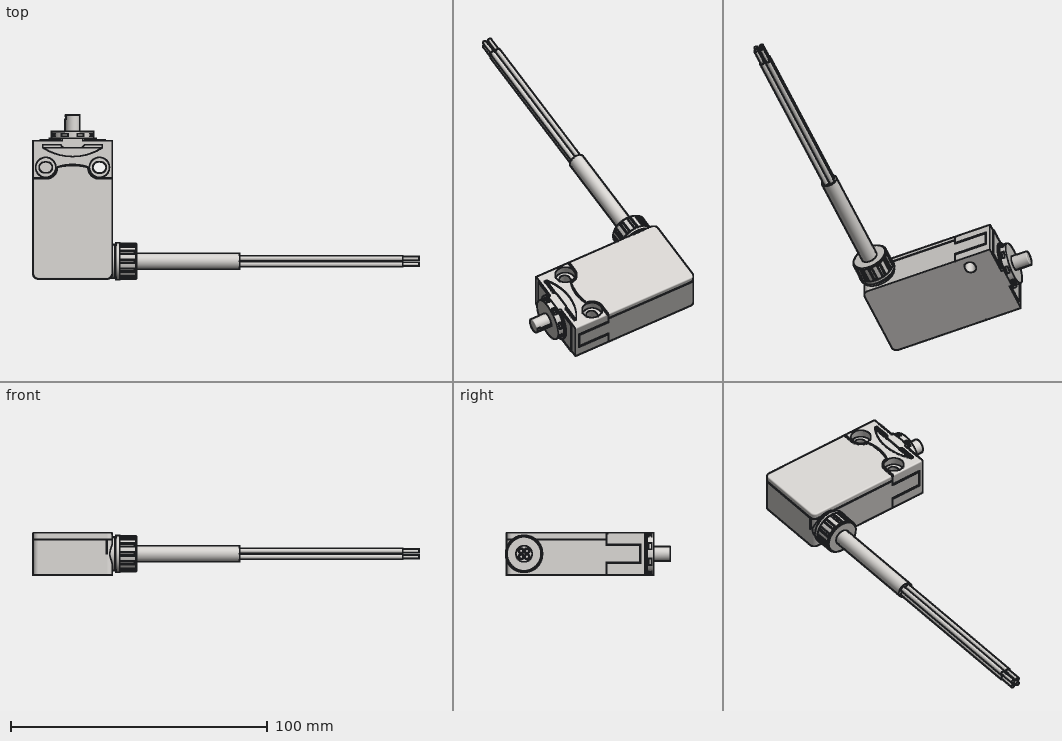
import cadquery as cq
import math

WIDTH = 31.0
END_Y = 0.3
HEAD_Y = 54.2
HEIGHT = 16.5
END_CORNER_RADIUS = 2.1
TOP_EDGE_FILLET = 0.6
MID_X = WIDTH / 2
MID_Z = HEIGHT / 2

HOLE_SPACING = 20.9
HOLE_Y = 43.8
HOLE_HEIGHT_Y = 4.2
HOLE_LENGTH_X = 5.1
BLIND_HOLE_DEPTH = 7.5
COUNTERBORE_RADIUS = 3.9
COUNTERBORE_DEPTH = 3.3
JOINT_Y = 39.3
JOINT_ARC_RADIUS = HOLE_Y - JOINT_Y
JOINT_WIDTH = 0.5
JOINT_DEPTH = 0.5
JOINT_CREST_Y = 44.5
LID_THICKNESS = 2.7
SEAM_SIZE = 0.2
TONGUE_TOP_Z = 12.0
TONGUE_BOTTOM_Z = HEIGHT - TONGUE_TOP_Z
TONGUE_END_Y = 52.7

RECESS_HALF_WIDTH = 11.6
RECESS_BOTTOM_Y = 48.0
RECESS_CHORD_Y = 51.5
RECESS_DEPTH = 0.5
POCKET_TOP_Y = 52.5
POCKET_INNER_HALF = 4.7
POCKET_DEPTH = 0.9

PAD_HALF_WIDTH = 12.6
PAD_TOP_Y = 54.6
PAD_INSET_Z = 0.5
BASE_RADIUS = 9.2
BASE_TOP_Y = 55.2
COLLAR_RADIUS = MID_Z
COLLAR_TOP_Y = 57.8
COLLAR_NOTCHES = 8
COLLAR_NOTCH_WIDTH = 2.7
COLLAR_NOTCH_DEPTH = 0.6
COLLAR_NOTCH_START_Y = 55.8
COLLAR_NOTCH_END_Y = 56.9
PLUNGER_RADIUS = 2.9
PLUNGER_TOP_Y = 64.3
PLUNGER_FILLET = 0.3
KEY_WIDTH = 1.0
KEY_HEIGHT = 0.3
KEY_END_Y = 62.6
TIP_NOTCH_WIDTH = 1.8
TIP_NOTCH_END_Y = 63.8
TIP_NOTCH_DEPTH = 0.3

CABLE_Y = 7.2
FLANGE_RADIUS = 6.6
FLANGE_END_X = 31.9
NECK_RADIUS = 6.2
RING_START_X = 32.4
RING_RADIUS = 7.2
NUT_START_X = 33.9
NUT_END_X = 40.5
NUT_RADIUS = 7.0
NUT_CHAMFER = 0.5
NUT_GROOVES = 12
NUT_GROOVE_FLOOR_WIDTH = 0.9
NUT_GROOVE_RIM_WIDTH = 1.8
NUT_GROOVE_DEPTH = 0.5
NUT_GROOVE_END_X = 39.6
CABLE_RADIUS = 3.2
CABLE_END_X = 80.5
WIRE_DIAMETER = 2.1
WIRE_PITCH = 2.3
WIRE_END_X = 144.2
CORE_DIAMETER = 1.5
CORE_END_X = 150.5
CORNER_SLIT_X = 29.0


def box(x_range, y_range, z_range):
    """Axis-aligned block between pairs of limits."""
    sizes = [limits[1] - limits[0] for limits in (x_range, y_range, z_range)]
    return cq.Workplane("XY").box(*sizes, centered=False).translate((x_range[0], y_range[0], z_range[0]))


def x_cylinder(radius, start_x, end_x, y=CABLE_Y, z=MID_Z):
    """Cylinder along X."""
    return cq.Workplane("YZ", origin=(start_x, y, z)).circle(radius).extrude(end_x - start_x)


def y_cylinder(radius, start_y, end_y):
    """Cylinder along Y on the plunger axis."""
    return cq.Workplane("XZ", origin=(MID_X, start_y, MID_Z)).circle(radius).extrude(start_y - end_y)


def block():
    """Housing with rounded corners at the cable end and softened top edges."""
    body = box((0, WIDTH), (END_Y, HEAD_Y), (0, HEIGHT))
    body = body.edges("|Z and <Y").fillet(END_CORNER_RADIUS)
    return body.faces(">Z").edges("not >Y").fillet(TOP_EDGE_FILLET)


def top_cut(depth):
    """Sketch plane at the bottom of a cut of the given depth in the top face."""
    return cq.Workplane("XY", origin=(MID_X, 0, HEIGHT - depth))


def mounting_holes():
    """Counterbored oblong holes: the left one blind, the right one through."""
    left = -HOLE_SPACING / 2
    right = HOLE_SPACING / 2
    counterbores = (
        top_cut(COUNTERBORE_DEPTH)
        .pushPoints([(left, HOLE_Y), (right, HOLE_Y)])
        .circle(COUNTERBORE_RADIUS)
        .extrude(COUNTERBORE_DEPTH)
    )
    blind = top_cut(BLIND_HOLE_DEPTH).center(left, HOLE_Y).slot2D(HOLE_LENGTH_X, HOLE_HEIGHT_Y)
    through = top_cut(HEIGHT).center(right, HOLE_Y).slot2D(HOLE_LENGTH_X, HOLE_HEIGHT_Y)
    return counterbores.union(blind.extrude(BLIND_HOLE_DEPTH)).union(through.extrude(HEIGHT))


def lid_outline(offset):
    """Lid region of the top face, with its head-side edge moved towards the head by offset."""
    hole_x = HOLE_SPACING / 2
    radius = JOINT_ARC_RADIUS - offset
    edge_y = JOINT_Y + offset
    diagonal = radius * math.sqrt(0.5)
    inner_x = hole_x - radius
    return (
        top_cut(JOINT_DEPTH)
        .moveTo(-MID_X, END_Y)
        .lineTo(-MID_X, edge_y)
        .lineTo(-hole_x, edge_y)
        .threePointArc((-hole_x + diagonal, HOLE_Y - diagonal), (-inner_x, HOLE_Y))
        .threePointArc((0, JOINT_CREST_Y + offset), (inner_x, HOLE_Y))
        .threePointArc((hole_x - diagonal, HOLE_Y - diagonal), (hole_x, edge_y))
        .lineTo(MID_X, edge_y)
        .lineTo(MID_X, END_Y)
        .close()
        .extrude(JOINT_DEPTH)
    )


def lid_joint():
    """Groove along the head-side edge of the lid."""
    return lid_outline(JOINT_WIDTH).cut(lid_outline(0))


def side_joints():
    """Tongue outline grooved into both long sides, and the seam below the lid."""
    grooves = cq.Workplane("XY")
    for x in (0, WIDTH):
        across = (x - SEAM_SIZE, x + SEAM_SIZE)
        tongue = box(across, (JOINT_Y, TONGUE_END_Y), (TONGUE_BOTTOM_Z, TONGUE_TOP_Z))
        inside = box(
            across,
            (JOINT_Y, TONGUE_END_Y - JOINT_WIDTH),
            (TONGUE_BOTTOM_Z + JOINT_WIDTH, TONGUE_TOP_Z - JOINT_WIDTH),
        )
        grooves = grooves.add(tongue.cut(inside))
        for z_range in ((0, TONGUE_BOTTOM_Z), (TONGUE_TOP_Z, HEIGHT)):
            grooves = grooves.add(box(across, (JOINT_Y, JOINT_Y + SEAM_SIZE), z_range))
    seam_z = (HEIGHT - LID_THICKNESS, HEIGHT - LID_THICKNESS + SEAM_SIZE)
    seam = box((0, WIDTH), (END_Y, JOINT_Y), seam_z).edges("|Z and <Y").fillet(END_CORNER_RADIUS)
    core = box((SEAM_SIZE, WIDTH - SEAM_SIZE), (END_Y + SEAM_SIZE, JOINT_Y), seam_z)
    core = core.edges("|Z and <Y").fillet(END_CORNER_RADIUS - SEAM_SIZE)
    return grooves.add(seam.cut(core)).combine()


def label_recess():
    """Shallow crescent with a deeper pocket above each end of its chord."""
    crescent = (
        top_cut(RECESS_DEPTH)
        .moveTo(-RECESS_HALF_WIDTH, RECESS_CHORD_Y)
        .threePointArc((0, RECESS_BOTTOM_Y), (RECESS_HALF_WIDTH, RECESS_CHORD_Y))
        .close()
        .extrude(RECESS_DEPTH)
    )
    slope = POCKET_TOP_Y - RECESS_CHORD_Y
    for side in (-1, 1):
        pocket = (
            top_cut(POCKET_DEPTH)
            .moveTo(side * RECESS_HALF_WIDTH, RECESS_CHORD_Y)
            .lineTo(side * RECESS_HALF_WIDTH, POCKET_TOP_Y)
            .lineTo(side * POCKET_INNER_HALF, POCKET_TOP_Y)
            .lineTo(side * (POCKET_INNER_HALF - slope), RECESS_CHORD_Y)
            .close()
            .extrude(POCKET_DEPTH)
        )
        crescent = crescent.union(pocket)
    return crescent


def collar():
    """Stepped pad and base under a notched round collar."""
    pad_z = (PAD_INSET_Z, HEIGHT - PAD_INSET_Z)
    pad = box((MID_X - PAD_HALF_WIDTH, MID_X + PAD_HALF_WIDTH), (HEAD_Y, PAD_TOP_Y), pad_z)
    base = y_cylinder(BASE_RADIUS, HEAD_Y, BASE_TOP_Y)
    base = base.intersect(box((0, WIDTH), (HEAD_Y, BASE_TOP_Y), (0, HEIGHT)))
    ring = y_cylinder(COLLAR_RADIUS, HEAD_Y, COLLAR_TOP_Y)
    half_notch = COLLAR_NOTCH_WIDTH / 2
    notch = box(
        (MID_X - half_notch, MID_X + half_notch),
        (COLLAR_NOTCH_START_Y, COLLAR_NOTCH_END_Y),
        (HEIGHT - COLLAR_NOTCH_DEPTH, HEIGHT),
    )
    for i in range(COLLAR_NOTCHES):
        angle = (i + 0.5) * 360 / COLLAR_NOTCHES
        ring = ring.cut(notch.rotate((MID_X, 0, MID_Z), (MID_X, 1, MID_Z), angle))
    return pad.union(base).union(ring)


def plunger():
    """Round plunger with a key along its left side and a notch beyond the key."""
    left = MID_X - PLUNGER_RADIUS
    rod = y_cylinder(PLUNGER_RADIUS, HEAD_Y, PLUNGER_TOP_Y).faces(">Y").edges().fillet(PLUNGER_FILLET)
    key = box(
        (left - KEY_HEIGHT, MID_X),
        (HEAD_Y, KEY_END_Y),
        (MID_Z - KEY_WIDTH / 2, MID_Z + KEY_WIDTH / 2),
    )
    notch = box(
        (left, left + TIP_NOTCH_DEPTH),
        (KEY_END_Y, TIP_NOTCH_END_Y),
        (MID_Z - TIP_NOTCH_WIDTH / 2, MID_Z + TIP_NOTCH_WIDTH / 2),
    )
    return rod.union(key).cut(notch)


def gland():
    """Flange, narrow neck, plain ring and grooved nut."""
    flange = x_cylinder(FLANGE_RADIUS, WIDTH - END_CORNER_RADIUS, FLANGE_END_X)
    neck = x_cylinder(NECK_RADIUS, FLANGE_END_X, RING_START_X)
    ring = x_cylinder(RING_RADIUS, RING_START_X, NUT_START_X)
    nut = x_cylinder(NUT_RADIUS, NUT_START_X, NUT_END_X).faces(">X").chamfer(NUT_CHAMFER)
    half_floor = NUT_GROOVE_FLOOR_WIDTH / 2
    half_rim = NUT_GROOVE_RIM_WIDTH / 2
    floor_z = NUT_RADIUS - NUT_GROOVE_DEPTH
    groove = (
        cq.Workplane("YZ", origin=(NUT_START_X, CABLE_Y, MID_Z))
        .moveTo(-half_floor, floor_z)
        .lineTo(half_floor, floor_z)
        .lineTo(half_rim, NUT_RADIUS)
        .lineTo(-half_rim, NUT_RADIUS)
        .close()
        .extrude(NUT_GROOVE_END_X - NUT_START_X)
    )
    for i in range(NUT_GROOVES):
        angle = i * 360 / NUT_GROOVES
        nut = nut.cut(groove.rotate((0, CABLE_Y, MID_Z), (1, CABLE_Y, MID_Z), angle))
    return flange.union(neck).union(ring).union(nut)


def cable():
    """Sheathed cable with four wires, each ending in a bare core."""
    strand = x_cylinder(CABLE_RADIUS, NUT_END_X, CABLE_END_X)
    for side_y in (-1, 1):
        for side_z in (-1, 1):
            y = CABLE_Y + side_y * WIRE_PITCH / 2
            z = MID_Z + side_z * WIRE_PITCH / 2
            strand = strand.union(x_cylinder(WIRE_DIAMETER / 2, CABLE_END_X, WIRE_END_X, y, z))
            strand = strand.union(x_cylinder(CORE_DIAMETER / 2, WIRE_END_X, CORE_END_X, y, z))
    return strand


def corner_slit():
    """Narrow slit in the end face beside the gland, from mid height to the lid."""
    return box(
        (CORNER_SLIT_X - JOINT_WIDTH, CORNER_SLIT_X),
        (END_Y, END_Y + JOINT_DEPTH),
        (MID_Z, HEIGHT - LID_THICKNESS),
    )


housing = block()
for cutter in (mounting_holes(), lid_joint(), side_joints(), label_recess(), corner_slit()):
    housing = housing.cut(cutter)

result = housing.union(collar()).union(plunger()).union(gland()).union(cable())